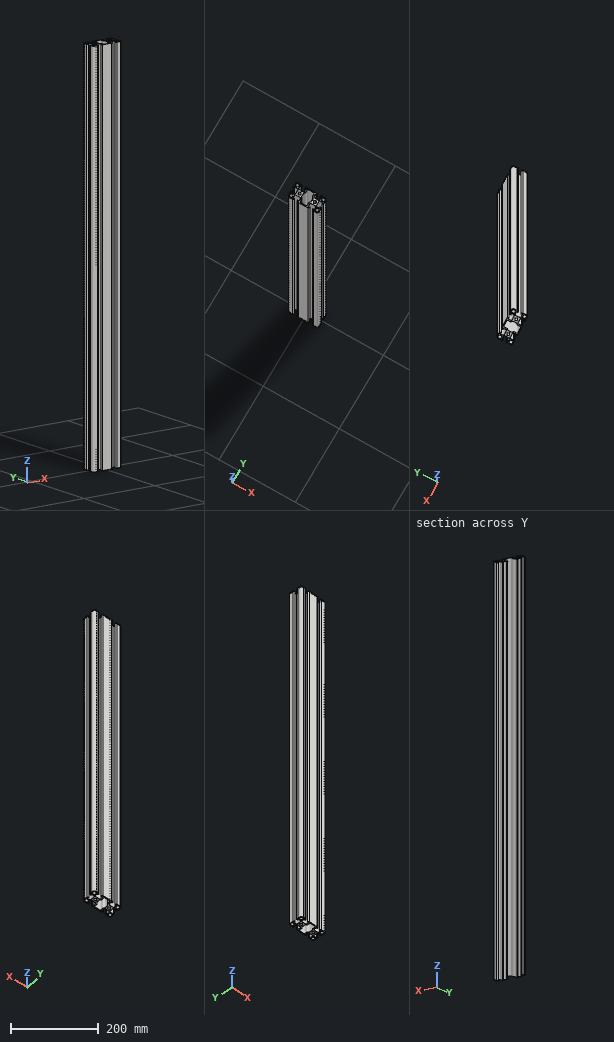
import cadquery as cq

LENGTH = 1000.0
WIDTH = 80.0
HEIGHT = 40.0
CORNER_RADIUS = 4.0

MODULE = HEIGHT
MODULE_CENTRES = (-MODULE / 2, MODULE / 2)
CORE_BORE_DIAMETER = 6.7

SLOT_OPENING = 8.2
SLOT_MOUTH_RADIUS = 1.5
SLOT_INNER_WIDTH = 15.0
SLOT_DEPTH = 12.4
LIP_TIP_THICKNESS = 4.2
LIP_ROOT_THICKNESS = 1.5
SLOT_FLOOR_FLAT = 6.4
SLOT_FLOOR_RISE = 0.4
SLOT_FLOOR_RADIUS = 1.2

CORNER_WALL = 2.0
CORNER_HOLLOW_SIZE = 7.7
CORNER_HOLLOW_RADIUS = 2.0

CENTRE_WALL = 2.2
CENTRE_HALF_WIDTH = 9.0
CENTRE_WAIST_HALF_WIDTH = 12.4
CENTRE_WAIST_HALF_HEIGHT = 4.2
CENTRE_FLARE_START = 8.3
CENTRE_HOLLOW_RADIUS = 2.5


def make_blank():
    """Solid bar with rounded long edges."""
    return cq.Workplane("XY").rect(WIDTH, HEIGHT).extrude(LENGTH).edges("|Z").fillet(CORNER_RADIUS)


def make_slot():
    """T-slot cutter with its mouth on y = 0, open towards +Y."""
    half_opening = SLOT_OPENING / 2
    half_inner = SLOT_INNER_WIDTH / 2
    floor_edge = -SLOT_DEPTH + SLOT_FLOOR_RISE
    right_side = [
        (half_opening, -LIP_TIP_THICKNESS),
        (half_inner, -LIP_ROOT_THICKNESS),
        (half_inner, floor_edge),
        (SLOT_FLOOR_FLAT / 2, -SLOT_DEPTH),
    ]
    left_side = [(-x, y) for x, y in reversed(right_side)]

    outline = cq.Workplane("XY").moveTo(half_opening + SLOT_MOUTH_RADIUS, 0)
    outline = outline.radiusArc((half_opening, -SLOT_MOUTH_RADIUS), -SLOT_MOUTH_RADIUS)
    for point in right_side + left_side:
        outline = outline.lineTo(*point)
    outline = outline.lineTo(-half_opening, -SLOT_MOUTH_RADIUS)
    outline = outline.radiusArc((-half_opening - SLOT_MOUTH_RADIUS, 0), -SLOT_MOUTH_RADIUS)
    slot = outline.close().extrude(LENGTH)

    for x in (-half_inner, half_inner):
        corner = cq.selectors.NearestToPointSelector((x, floor_edge, LENGTH / 2))
        slot = slot.edges("|Z").edges(corner).fillet(SLOT_FLOOR_RADIUS)
    return slot


def cut_slots(body):
    """Two slots on each wide side and one on each narrow side."""
    placements = [(-WIDTH / 2, 0, 90), (WIDTH / 2, 0, -90)]
    for x in MODULE_CENTRES:
        placements.append((x, HEIGHT / 2, 0))
        placements.append((x, -HEIGHT / 2, 180))
    slot = make_slot()
    for x, y, angle in placements:
        body = body.cut(slot.rotate((0, 0, 0), (0, 0, 1), angle).translate((x, y, 0)))
    return body


def make_core_bores():
    """Round bore through the middle of each module."""
    centres = [(x, 0) for x in MODULE_CENTRES]
    return cq.Workplane("XY").pushPoints(centres).circle(CORE_BORE_DIAMETER / 2).extrude(LENGTH)


def make_corner_hollows():
    """Rounded square hollow in each of the four corners."""
    inset = 2 * CORNER_WALL + CORNER_HOLLOW_SIZE
    hollows = (
        cq.Workplane("XY")
        .rect(WIDTH - inset, HEIGHT - inset, forConstruction=True)
        .vertices()
        .rect(CORNER_HOLLOW_SIZE, CORNER_HOLLOW_SIZE)
        .extrude(LENGTH)
    )
    return hollows.edges("|Z").fillet(CORNER_HOLLOW_RADIUS)


def make_centre_hollow():
    """Twelve-sided hollow that widens at mid height, with rounded corners."""
    upper_right = [
        (CENTRE_HALF_WIDTH, HEIGHT / 2 - CENTRE_WALL),
        (CENTRE_HALF_WIDTH, CENTRE_FLARE_START),
        (CENTRE_WAIST_HALF_WIDTH, CENTRE_WAIST_HALF_HEIGHT),
    ]
    right = upper_right + [(x, -y) for x, y in reversed(upper_right)]
    left = [(-x, -y) for x, y in right]
    hollow = cq.Workplane("XY").polyline(right + left).close().extrude(LENGTH)
    return hollow.edges("|Z").fillet(CENTRE_HOLLOW_RADIUS)


body = cut_slots(make_blank())
for hollow in (make_core_bores(), make_corner_hollows(), make_centre_hollow()):
    body = body.cut(hollow)
result = body